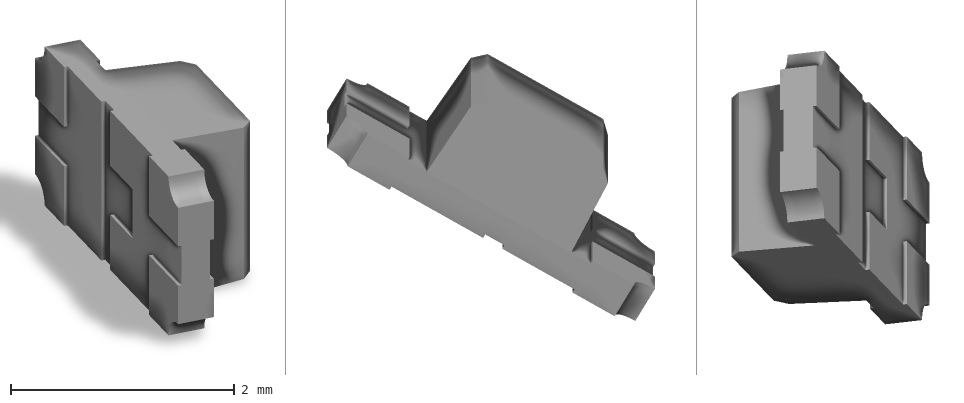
import cadquery as cq
import math

length = 3.2
width = 1.6
height = 1.14

pad_step = 0.035
pad_depth = 0.35
pad_length = 0.65
pad_gap = 0.397
corner_radius = 0.215
board_front = pad_step
board_back = pad_depth - pad_step

mark_depth = 0.04
stripe_width = 0.2
tab_length = 0.5
tab_width = 0.495

lens_length = 1.498
lens_draft = 3.0
chamfer_width = 0.105
chamfer_depth = 0.11


def block(x_min, x_max, y_min, y_max, z_size, z_center=0.0):
    """Box given by its X and Y limits and its size and centre along Z."""
    center = ((x_min + x_max) / 2, (y_min + y_max) / 2, z_center)
    return cq.Workplane("XY").box(x_max - x_min, y_max - y_min, z_size).translate(center)


def make_board():
    board = block(-length / 2, length / 2, board_front, board_back, width)
    pad_width = (width - pad_gap) / 2
    pad_z = (pad_gap + pad_width) / 2
    pad_inner = length / 2 - pad_length
    for z in (-pad_z, pad_z):
        board = board.union(block(pad_inner, length / 2, 0, pad_depth, pad_width, z))
        board = board.union(block(-length / 2, -pad_inner, 0, pad_depth, pad_width, z))
    return board


def make_corner_notches():
    return (
        cq.Workplane("XZ")
        .rect(length, width, forConstruction=True)
        .vertices()
        .circle(corner_radius)
        .extrude(-pad_depth)
    )


def make_polarity_mark():
    mark_bottom = board_front + mark_depth
    stripe = block(-stripe_width, 0, 0, mark_bottom, width)
    tab = block(-stripe_width, tab_length, 0, mark_bottom, tab_width)
    return stripe.union(tab)


def make_lens():
    lens_height = height - board_back
    inset = lens_height * math.tan(math.radians(lens_draft))
    lens = (
        cq.Workplane("XZ", origin=(0, board_back, 0))
        .rect(lens_length, width)
        .workplane(offset=-lens_height)
        .rect(lens_length - 2 * inset, width - 2 * inset)
        .loft(ruled=True)
    )
    chamfer_start = height - chamfer_depth
    side_x = lens_length / 2 - inset * (chamfer_start - board_back) / lens_height
    top_x = lens_length / 2 - inset - chamfer_width
    envelope = (
        cq.Workplane("XY")
        .polyline([
            (-lens_length / 2, board_back),
            (lens_length / 2, board_back),
            (side_x, chamfer_start),
            (top_x, height),
            (-top_x, height),
            (-side_x, chamfer_start),
        ])
        .close()
        .extrude(width / 2, both=True)
    )
    return lens.intersect(envelope)


result = make_board().cut(make_corner_notches()).cut(make_polarity_mark()).union(make_lens())